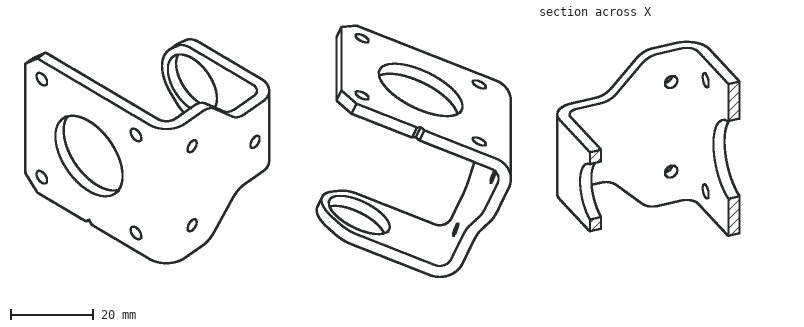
import cadquery as cq
import math

length = 47.0
depth = 40.0
height = 42.5
thickness = 3.0
bend_radius = 2 * thickness

bore_x = 21.0
front_bore_diameter = 22.15
mount_hole_diameter = 3.5
mount_hole_spacing = 31.0
corner_chamfer = 4.0
notch_depth = 1.0

rear_height = 22.2
rear_bore_diameter = 16.15
tip_radius = 10.0

taper_start_y = 14.9
taper_length = (height - rear_height) / 2
outline_fillet = 6.0
web_hole_diameter = 3.25
web_pair_y = 8.75
web_pair_spacing = 25.0
web_single_y = 31.2


def bent_strip():
    """Full-height U section; its rear leg stops at the bore axis."""
    inner_x = length - thickness
    strip = (
        cq.Workplane("XY")
        .polyline([
            (0, 0),
            (length, 0),
            (length, depth),
            (bore_x, depth),
            (bore_x, depth - thickness),
            (inner_x, depth - thickness),
            (inner_x, thickness),
            (0, thickness),
        ])
        .close()
        .extrude(height / 2, both=True)
    )
    strip = strip.edges("|Z and >X").fillet(bend_radius)
    inner_corners = cq.selectors.BoxSelector(
        (inner_x - 0.45, 0, -height), (inner_x + 0.45, depth, height)
    )
    return strip.edges("|Z").edges(inner_corners).fillet(bend_radius - thickness)


def side_envelope():
    """Tapered outline of the web, swept along the whole length."""
    taper_end_y = taper_start_y + taper_length
    upper = [
        (0, height / 2),
        (taper_start_y, height / 2),
        (taper_end_y, rear_height / 2),
        (depth, rear_height / 2),
    ]
    lower = [(y, -z) for y, z in reversed(upper)]
    envelope = cq.Workplane("YZ").polyline(upper + lower).close().extrude(length)
    taper_corners = cq.selectors.BoxSelector(
        (0, taper_start_y - 0.45, -height), (length, taper_end_y + 0.45, height)
    )
    return envelope.edges("|X").edges(taper_corners).fillet(outline_fillet)


def rear_tip():
    """Rounded end of the rear flange, with 45 degree flanks tangent to the tip arc."""
    tangent_offset = tip_radius / math.sqrt(2)
    shoulder_x = bore_x - tip_radius * math.sqrt(2) + rear_height / 2
    tip = (
        cq.Workplane("XZ", origin=(0, depth, 0))
        .moveTo(bore_x, rear_height / 2)
        .lineTo(shoulder_x, rear_height / 2)
        .lineTo(bore_x - tangent_offset, tangent_offset)
        .threePointArc((bore_x - tip_radius, 0), (bore_x - tangent_offset, -tangent_offset))
        .lineTo(shoulder_x, -rear_height / 2)
        .lineTo(bore_x, -rear_height / 2)
        .close()
        .extrude(thickness)
    )
    shoulders = cq.selectors.BoxSelector(
        (shoulder_x - 0.45, 0, -height), (shoulder_x + 0.45, 2 * depth, height)
    )
    return tip.edges("|Y").edges(shoulders).fillet(outline_fillet)


def front_cuts():
    """Bore, four mounting holes and the V notch in the lower edge."""
    front = cq.Workplane("XZ").center(bore_x, 0)
    bore = front.circle(front_bore_diameter / 2).extrude(-thickness)
    holes = (
        front.rect(mount_hole_spacing, mount_hole_spacing, forConstruction=True)
        .vertices()
        .circle(mount_hole_diameter / 2)
        .extrude(-thickness)
    )
    bottom = -height / 2
    notch = (
        front.polyline([
            (-notch_depth, bottom),
            (0, bottom + notch_depth),
            (notch_depth, bottom),
        ])
        .close()
        .extrude(-thickness)
    )
    return bore.union(holes).union(notch)


def rear_bore():
    return (
        cq.Workplane("XZ", origin=(bore_x, depth, 0))
        .circle(rear_bore_diameter / 2)
        .extrude(thickness)
    )


def web_holes():
    centers = [
        (web_pair_y, web_pair_spacing / 2),
        (web_pair_y, -web_pair_spacing / 2),
        (web_single_y, 0),
    ]
    return (
        cq.Workplane("YZ", origin=(length - thickness, 0, 0))
        .pushPoints(centers)
        .circle(web_hole_diameter / 2)
        .extrude(thickness)
    )


bracket = bent_strip().intersect(side_envelope())
bracket = bracket.edges("|Y and <X").chamfer(corner_chamfer)
bracket = bracket.union(rear_tip())
result = bracket.cut(front_cuts()).cut(rear_bore()).cut(web_holes())